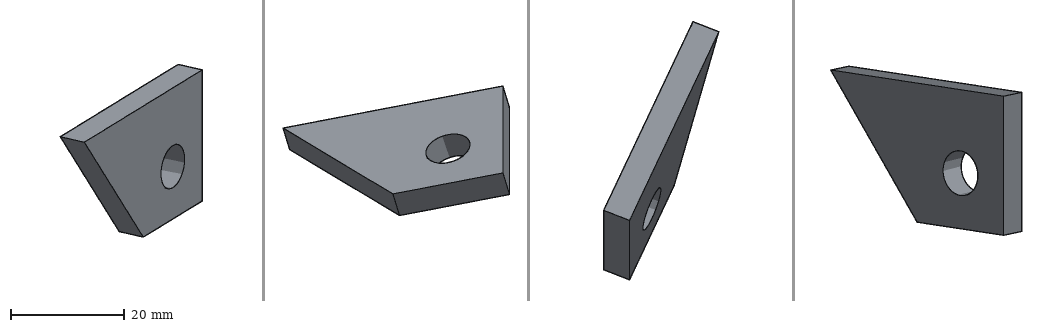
import cadquery as cq

thickness = 5.0
top_length = 40.0
bottom_length = 20.0
height = 25.0
hole_diameter = 8.0
hole_from_back = 10.0
hole_from_bottom = 10.0

back_y = top_length / 2
front_y = -top_length / 2
top_z = height / 2
bottom_z = -height / 2

outline = [
    (back_y, bottom_z),
    (back_y, top_z),
    (front_y, top_z),
    (back_y - bottom_length, bottom_z),
]
plate = cq.Workplane("YZ").polyline(outline).close().extrude(thickness / 2, both=True)

hole = (
    cq.Workplane("YZ", origin=(-thickness / 2, 0, 0))
    .center(back_y - hole_from_back, bottom_z + hole_from_bottom)
    .circle(hole_diameter / 2)
    .extrude(thickness)
)

result = plate.cut(hole)